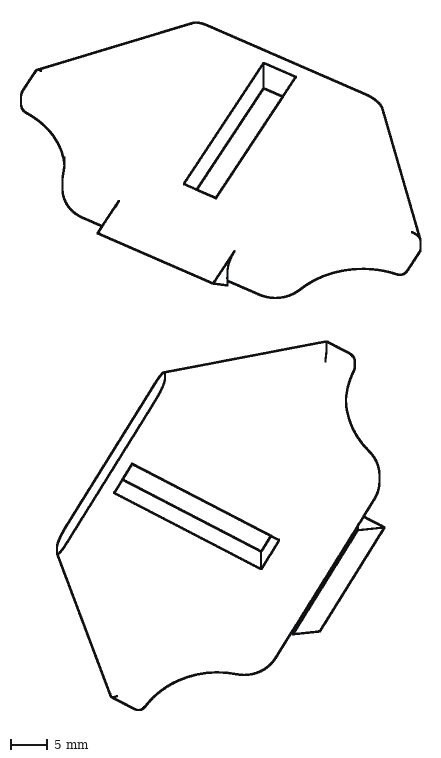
import cadquery as cq
import math

thickness = 6.0
half_width = 30.0
back_half_width = 15.0
shoulder_y = -17.0
front_y = -33.85
edge_radius = 2.0

scallop_radius = 12.0
scallop_top_y = front_y + scallop_radius
blend_radius = 5.0
tip_radius = 1.0

slot_width = 5.0
slot_back_y = -1.95
slot_length = 23.2

lip_width = 18.0
lip_length = 4.24
lip_height = 5.65


def right_half_outline():
    """Half of the plate outline, closed along the plane of symmetry."""
    centre_distance = scallop_radius + blend_radius
    blend_x = half_width - math.sqrt(centre_distance**2 - blend_radius**2)
    blend_y = front_y + blend_radius

    touch_angle = math.asin(blend_radius / centre_distance)
    touch_point = (
        half_width - scallop_radius * math.cos(touch_angle),
        front_y + scallop_radius * math.sin(touch_angle),
    )
    scallop_mid_angle = (math.pi / 2 + touch_angle) / 2
    scallop_mid = (
        half_width - scallop_radius * math.cos(scallop_mid_angle),
        front_y + scallop_radius * math.sin(scallop_mid_angle),
    )
    blend_mid_angle = (math.pi / 2 - touch_angle) / 2
    blend_mid = (
        blend_x + blend_radius * math.cos(blend_mid_angle),
        blend_y - blend_radius * math.sin(blend_mid_angle),
    )
    return (
        cq.Workplane("XY")
        .moveTo(0, 0)
        .lineTo(back_half_width, 0)
        .lineTo(half_width, shoulder_y)
        .lineTo(half_width, scallop_top_y)
        .threePointArc(scallop_mid, touch_point)
        .threePointArc(blend_mid, (blend_x, front_y))
        .lineTo(0, front_y)
        .close()
    )


def make_plate():
    """Plate with every rim rounded except along the flat back face."""
    half = right_half_outline().extrude(thickness)
    plate = half.union(half.mirror("YZ"), clean=True)
    for side in (-1, 1):
        tip = cq.selectors.NearestToPointSelector((side * half_width, scallop_top_y, thickness / 2))
        plate = plate.edges(tip).fillet(tip_radius)
    rim_edges = plate.faces("<Z or >Z").edges()
    back_rims = rim_edges.edges(">Y").vals()
    rounded_rims = [edge for edge in rim_edges.vals() if edge not in back_rims]
    return plate.newObject(rounded_rims).fillet(edge_radius)


def make_lip():
    """Wedge with a flat top, reaching back to fill the rounded top rim behind it."""
    return (
        cq.Workplane("YZ")
        .moveTo(front_y - lip_length, thickness)
        .lineTo(front_y + edge_radius, thickness)
        .lineTo(front_y + edge_radius, thickness - edge_radius)
        .lineTo(front_y, thickness - edge_radius)
        .lineTo(front_y, thickness - lip_height)
        .close()
        .extrude(lip_width / 2, both=True)
    )


def make_slot():
    """Rectangular slot through the full thickness."""
    return (
        cq.Workplane("XY")
        .center(0, slot_back_y - slot_length / 2)
        .rect(slot_width, slot_length)
        .extrude(thickness)
    )


result = make_plate().union(make_lip()).cut(make_slot())